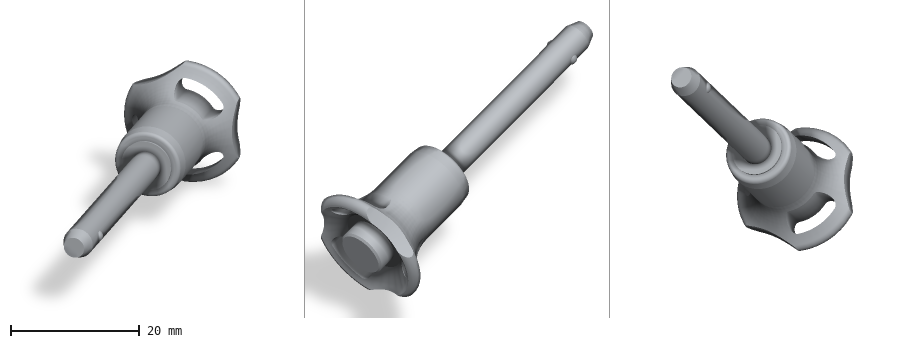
import cadquery as cq
import math

length = 55.65

button_radius = 3.95
button_chamfer = 0.35
handle_face = 0.7
handle_radius = 10.1
rim_round = 1.15
dish_floor = 3.35
dish_floor_radius = 5.25

sleeve_radius = 5.6
flare_end = 9.9
taper_start = 18.45
taper_end = 20.0
sleeve_end = 20.65
taper_end_radius = 5.4
sleeve_round = 0.6
collar_radius = 4.05
collar_end = 21.0

shank_radius = 2.4
tip_radius = 1.65
tip_length = 2.0
ball_station = 49.95
ball_radius = 1.0
ball_reach = 2.8

lobe_angles = (60, 180, 300)
lobe_half_angle = 30
scallop_depth = 8.25
scallop_clearance = 13.9
slot_radius = 7.0
slot_width = 2.35
hole_radius = 6.95
hole_diameter = 2.45
slot_half_angle = 25


def polar(radius, angle):
    """Point at an angle about the pin axis, in X and Z."""
    turn = math.radians(angle)
    return radius * math.cos(turn), radius * math.sin(turn)


def through_handle(outline):
    """Extrude an XZ outline from the button face to the end of the flare."""
    return outline.extrude(flare_end)


def make_handle():
    """Revolve the rim, trumpet flare, sleeve and collar."""
    rim_center = handle_radius - rim_round
    rim_station = handle_face + rim_round

    rise = flare_end - rim_station
    run = rim_center - sleeve_radius
    flare_radius = (rise**2 + run**2 - rim_round**2) / (2 * (run + rim_round))
    flare_center = sleeve_radius + flare_radius
    contact_angle = math.atan2(rise, flare_center - rim_center)
    contact = (
        rim_center + rim_round * math.cos(contact_angle),
        -rim_station - rim_round * math.sin(contact_angle),
    )
    flare_middle = (
        flare_center - flare_radius * math.cos(contact_angle / 2),
        -flare_end + flare_radius * math.sin(contact_angle / 2),
    )
    profile = (
        cq.Workplane("XY")
        .moveTo(0, -dish_floor)
        .lineTo(dish_floor_radius, -dish_floor)
        .lineTo(rim_center, -handle_face)
        .threePointArc((handle_radius, -rim_station), contact)
        .threePointArc(flare_middle, (sleeve_radius, -flare_end))
        .lineTo(sleeve_radius, -taper_start)
        .lineTo(taper_end_radius, -taper_end)
        .radiusArc((taper_end_radius - sleeve_round, -sleeve_end), sleeve_round)
        .lineTo(collar_radius, -sleeve_end)
        .lineTo(collar_radius, -collar_end)
        .lineTo(0, -collar_end)
        .close()
    )
    return profile.revolve(360, (0, 0, 0), (0, 1, 0))


def scallop(angle):
    """Concave cutter that separates two lobes, its curve meeting the rim at both lobe edges."""
    start = polar(handle_radius, angle - lobe_half_angle)
    end = polar(handle_radius, angle + lobe_half_angle)
    outline = cq.Workplane("XZ").moveTo(*start).threePointArc(polar(scallop_depth, angle), end)
    outline = outline.lineTo(*polar(scallop_clearance, angle + lobe_half_angle))
    outline = outline.lineTo(*polar(scallop_clearance, angle - lobe_half_angle))
    return through_handle(outline.close())


def curved_slot(angle):
    """Arc-shaped opening with round ends, centered on a lobe."""
    inner = slot_radius - slot_width / 2
    outer = slot_radius + slot_width / 2
    start = angle - slot_half_angle
    end = angle + slot_half_angle
    cap_turn = math.degrees(slot_width / 2 / slot_radius)
    outline = (
        cq.Workplane("XZ")
        .moveTo(*polar(inner, start))
        .threePointArc(polar(inner, angle), polar(inner, end))
        .threePointArc(polar(slot_radius, end + cap_turn), polar(outer, end))
        .threePointArc(polar(outer, angle), polar(outer, start))
        .threePointArc(polar(slot_radius, start - cap_turn), polar(inner, start))
        .close()
    )
    return through_handle(outline)


def round_hole(angle):
    """Plain hole through a lobe."""
    center = polar(hole_radius, angle)
    return through_handle(cq.Workplane("XZ").center(*center).circle(hole_diameter / 2))


def make_button():
    """Chamfered button, rooted in the handle."""
    button = cq.Workplane("XZ").circle(button_radius).extrude(flare_end)
    return button.faces(">Y").chamfer(button_chamfer)


def make_shank():
    """Shank with a tapered tip and two opposed locking balls."""
    shank = (
        cq.Workplane("XY")
        .moveTo(0, -flare_end)
        .lineTo(shank_radius, -flare_end)
        .lineTo(shank_radius, -length + tip_length)
        .lineTo(tip_radius, -length)
        .lineTo(0, -length)
        .close()
        .revolve(360, (0, 0, 0), (0, 1, 0))
    )
    for side in (-1, 1):
        ball_center = (side * (ball_reach - ball_radius), -ball_station, 0)
        shank = shank.union(cq.Workplane("XY").sphere(ball_radius).translate(ball_center))
    return shank


slot_lobe_1, hole_lobe, slot_lobe_2 = lobe_angles
handle = make_handle()
for lobe_angle in lobe_angles:
    handle = handle.cut(scallop(lobe_angle + 2 * lobe_half_angle))
handle = handle.cut(curved_slot(slot_lobe_1)).cut(curved_slot(slot_lobe_2))
handle = handle.cut(round_hole(hole_lobe))

result = handle.union(make_button()).union(make_shank())